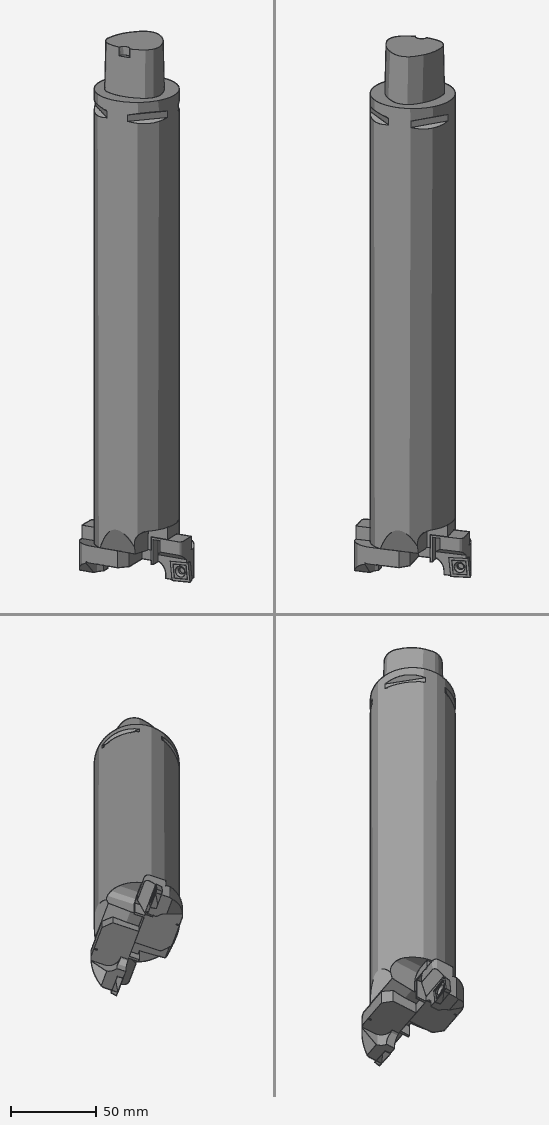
import cadquery as cq
import math


total_height = 331.2

bar_diameter = 50.0
bar_radius = bar_diameter / 2
bar_top = 301.5
bar_bottom = 19.0

shank_base_radius = 17.5
shank_top_radius = 17.0
lobe_height = 1.3
lobe_half_angle = 38.0
lobe_count = 3
lobe_spacing = 360.0 / lobe_count
first_lobe_angle = 90.0
key_notch_radius = 3.5
key_notch_y = -16.2
key_notch_depth = 5.3

groove_count = 4
groove_z = 291.5
groove_floor = 22.0
groove_floor_height = 4.0
groove_mouth_height = 7.0

cutback_top = 35.0
bevel_slope = 0.25
side_flat = 23.5
gullet_wall_x = 10.5
gullet_back_y = 5.5
gullet_radius = 7.3

plate_top = 21.0
plate_slope_start_y = 7.5
plate_underside = 10.3
slide_bottom = 0.5
slide_end_x = -3.5
slide_outer_x = 33.0
slide_back_y = 21.2
end_chamfer = 5.0
outer_arc_start_y = 9.0
outer_arc_middle = (28.8, 16.2)
outer_arc_end_x = 20.5
leg_slope_start_y = 10.5
leg_inner_x = 19.2
leg_arch_start_x = 15.0
leg_arch_middle = (18.0, 7.5)
leg_arch_end_z = 3.5
leg_relief_x = 23.0
leg_relief_y = 12.0
leg_relief_radius = 7.3

upright_inner_x = 13.0
upright_half_width = 6.3
upright_top = 27.0
upright_rim = 1.3
upright_corner_radius = 2.5
nose_inner_x = 19.0
nose_bottom = 19.0
recess_bottom = 14.5

insert_nose_x = 35.5
insert_heel_x = 23.5
insert_side = 12.0
insert_bottom_tilt = 4.0
insert_side_tilt = 6.0
insert_thickness = 3.5
insert_clearance_angle = 7.0
insert_land = 1.5
chip_groove_depth = 0.3
insert_hole_diameter = 4.0
insert_sink_diameter = 6.5
insert_sink_angle = 82.0


def box(x_range, y_range, z_range):
    """Box between the given limits on each axis."""
    size = [limits[1] - limits[0] for limits in (x_range, y_range, z_range)]
    corner = (x_range[0], y_range[0], z_range[0])
    return cq.Workplane("XY").box(*size, centered=False).translate(corner)


def half_turn(shape):
    """The same shape turned half a turn about the tool axis."""
    return shape.rotate((0, 0, 0), (0, 0, 1), 180)


def shank_point(radius, normal_angle):
    """Point of the constant-width three-lobed outline whose normal has the given angle."""
    angle = math.radians(normal_angle)
    lobe_phase = lobe_count * math.radians(normal_angle - first_lobe_angle)
    reach = radius + lobe_height * math.cos(lobe_phase)
    shift = -lobe_count * lobe_height * math.sin(lobe_phase)
    x = reach * math.cos(angle) - shift * math.sin(angle)
    y = reach * math.sin(angle) + shift * math.cos(angle)
    return x, y


def shank_outline(plane, radius):
    """Outline of three lobe arcs joined by three flatter arcs."""
    outline = plane.moveTo(*shank_point(radius, first_lobe_angle - lobe_half_angle))
    for lobe in range(lobe_count):
        lobe_angle = first_lobe_angle + lobe * lobe_spacing
        outline = outline.threePointArc(
            shank_point(radius, lobe_angle),
            shank_point(radius, lobe_angle + lobe_half_angle),
        )
        outline = outline.threePointArc(
            shank_point(radius, lobe_angle + lobe_spacing / 2),
            shank_point(radius, lobe_angle + lobe_spacing - lobe_half_angle),
        )
    return outline.close()


def make_shank():
    base = shank_outline(cq.Workplane("XY").workplane(offset=bar_top), shank_base_radius)
    top_plane = base.workplane(offset=total_height - bar_top)
    shank = shank_outline(top_plane, shank_top_radius).loft(ruled=True)
    notch = (
        cq.Workplane("XY", origin=(0, key_notch_y, total_height - key_notch_depth))
        .circle(key_notch_radius)
        .extrude(key_notch_depth)
    )
    return shank.cut(notch)


def gripper_groove(angle):
    """Straight groove across the side of the bar, flaring outward from a flat floor."""
    profile = [
        (groove_floor, groove_z - groove_floor_height / 2),
        (bar_radius, groove_z - groove_mouth_height / 2),
        (bar_radius, groove_z + groove_mouth_height / 2),
        (groove_floor, groove_z + groove_floor_height / 2),
    ]
    groove = cq.Workplane("XZ").polyline(profile).close().extrude(bar_radius, both=True)
    return groove.rotate((0, 0, 0), (0, 0, 1), angle)


def bevel_cut():
    """Wedge that bevels the -Y side of the lower end."""
    bevel_depth = bevel_slope * (cutback_top - bar_bottom)
    profile = [
        (-bar_radius, cutback_top),
        (-bar_radius, bar_bottom),
        (-bar_radius + bevel_depth, bar_bottom),
    ]
    return cq.Workplane("YZ").polyline(profile).close().extrude(bar_radius, both=True)


def chip_gullet():
    """Open corner in front of the +X slide, with a rounded upper inner edge."""
    gullet = box((gullet_wall_x, bar_radius), (-bar_radius, -gullet_back_y), (bar_bottom, cutback_top))
    return gullet.edges("<X and >Z").fillet(gullet_radius)


def bottom_slope_cut():
    """Wedge that slopes the bottom of the bar to lie on the top of the +X slide's plate."""
    profile = [
        (plate_slope_start_y, bar_bottom),
        (slide_back_y, bar_bottom),
        (slide_back_y, plate_top),
    ]
    sloped_part = cq.Workplane("YZ").polyline(profile).close().extrude(bar_radius, both=True)
    edge_part = box((-bar_radius, bar_radius), (slide_back_y, bar_radius), (bar_bottom, plate_top))
    return sloped_part.union(edge_part)


def make_bar():
    bar = cq.Workplane("XY").workplane(offset=bar_bottom).circle(bar_radius).extrude(bar_top - bar_bottom)
    side_cut = box((side_flat, bar_radius), (-bar_radius, bar_radius), (bar_bottom, cutback_top))
    upright_seat = make_upright_block()
    for cut in (bevel_cut(), side_cut, chip_gullet(), bottom_slope_cut(), upright_seat):
        bar = bar.cut(cut).cut(half_turn(cut))
    for index in range(groove_count):
        bar = bar.cut(gripper_groove((index + 0.5) * 360 / groove_count))
    return bar.union(make_shank())


def slide_blank():
    """Plan outline of the slide, raised from the foot of the leg to the top of the plate."""
    return (
        cq.Workplane("XY")
        .workplane(offset=slide_bottom)
        .moveTo(slide_end_x, 0)
        .lineTo(slide_outer_x, 0)
        .lineTo(slide_outer_x, outer_arc_start_y)
        .threePointArc(outer_arc_middle, (outer_arc_end_x, slide_back_y))
        .lineTo(slide_end_x + end_chamfer, slide_back_y)
        .lineTo(slide_end_x, slide_back_y - end_chamfer)
        .close()
        .extrude(plate_top - slide_bottom)
    )


def plate_top_slope():
    """Space above the plate, which is level in the middle and rises gently to the back."""
    profile = [
        (0, bar_bottom),
        (plate_slope_start_y, bar_bottom),
        (slide_back_y, plate_top),
        (0, plate_top),
    ]
    return cq.Workplane("YZ").polyline(profile).close().extrude(slide_outer_x, both=True)


def make_upright_block():
    """Solid block of the upright, rounded on its outer front edge."""
    block = box(
        (upright_inner_x, slide_outer_x),
        (-upright_half_width, upright_half_width),
        (plate_underside, upright_top),
    )
    return block.edges("|Z and >X and <Y").fillet(upright_corner_radius)


def leg_arch():
    """Space between the legs, below the plate, with an arched corner."""
    return (
        cq.Workplane("XZ")
        .moveTo(slide_end_x, slide_bottom)
        .lineTo(leg_inner_x, slide_bottom)
        .lineTo(leg_inner_x, leg_arch_end_z)
        .threePointArc(leg_arch_middle, (leg_arch_start_x, plate_underside))
        .lineTo(slide_end_x, plate_underside)
        .close()
        .extrude(-slide_back_y)
    )


def leg_slope():
    """Wedge that slopes the underside of the leg up to its back."""
    profile = [
        (leg_slope_start_y, slide_bottom),
        (slide_back_y, slide_bottom),
        (slide_back_y, plate_underside),
    ]
    return cq.Workplane("YZ").polyline(profile).close().extrude(slide_outer_x)


def leg_relief():
    """Rounded relief on the inner back corner of the leg."""
    axis_x = leg_relief_x - leg_relief_radius
    height = plate_underside - slide_bottom
    round_part = (
        cq.Workplane("XY", origin=(axis_x, leg_relief_y, slide_bottom))
        .circle(leg_relief_radius)
        .extrude(height)
    )
    straight_part = box(
        (axis_x, leg_relief_x), (leg_relief_y, slide_back_y), (slide_bottom, plate_underside)
    )
    return round_part.union(straight_part)


def front_recess():
    """Chip recess in the front of the upright, leaving a thin rim on its inner and upper edges."""
    return box(
        (upright_inner_x + upright_rim, slide_outer_x),
        (-upright_half_width, 0),
        (plate_underside, upright_top - upright_rim),
    )


def nose_block():
    """Block left standing in the recess, with a sloped underside and a slanted inner side."""
    profile = [
        (0, recess_bottom),
        (-upright_half_width, nose_bottom),
        (-upright_half_width, upright_top),
        (0, upright_top),
    ]
    plan = [
        (upright_inner_x + upright_rim, 0),
        (nose_inner_x, -upright_half_width),
        (slide_outer_x, -upright_half_width),
        (slide_outer_x, 0),
    ]
    side_shape = cq.Workplane("YZ").polyline(profile).close().extrude(slide_outer_x)
    plan_shape = cq.Workplane("XY").polyline(plan).close().extrude(upright_top)
    return side_shape.intersect(plan_shape)


def make_slide():
    slide = slide_blank().cut(plate_top_slope()).cut(leg_arch()).cut(leg_slope()).cut(leg_relief())
    upright = make_upright_block().cut(front_recess().cut(nose_block()))
    return slide.union(upright).cut(insert_blank())


def insert_corners():
    """Corners of the insert in X and Z, starting at its lowest one."""
    bottom_tilt = math.radians(insert_bottom_tilt)
    side_tilt = math.radians(insert_side_tilt)
    nose_z = (insert_nose_x - insert_heel_x) * math.tan(bottom_tilt)
    lean = insert_side * math.sin(side_tilt)
    rise = insert_side * math.cos(side_tilt)
    return [
        (insert_heel_x, 0),
        (insert_nose_x, nose_z),
        (insert_nose_x - lean, nose_z + rise),
        (insert_heel_x - lean, rise),
    ]


def insert_blank():
    """Plain insert, with its face at Y = 0 and its flanks drawn in toward the back."""
    outline = cq.Workplane("XZ").polyline(insert_corners()).close()
    return outline.extrude(-insert_thickness, taper=insert_clearance_angle)


def make_insert():
    corners = insert_corners()
    middle_x = sum(x for x, _ in corners) / len(corners)
    middle_z = sum(z for _, z in corners) / len(corners)
    chip_groove = (
        cq.Workplane("XZ").polyline(corners).close().offset2D(-insert_land).extrude(-chip_groove_depth)
    )
    insert = insert_blank().cut(chip_groove)
    screw_face = cq.Plane(origin=(middle_x, chip_groove_depth, middle_z), xDir=(1, 0, 0), normal=(0, -1, 0))
    return insert.copyWorkplane(cq.Workplane(screw_face)).cskHole(
        insert_hole_diameter, insert_sink_diameter, insert_sink_angle
    )


bar = make_bar()
slide = make_slide()
insert = make_insert()

cutter_bodies = []
for part in (slide, insert):
    cutter_bodies.extend([part.solids().val(), half_turn(part).solids().val()])

result = cq.Compound.makeCompound([bar.solids().val(), *cutter_bodies])